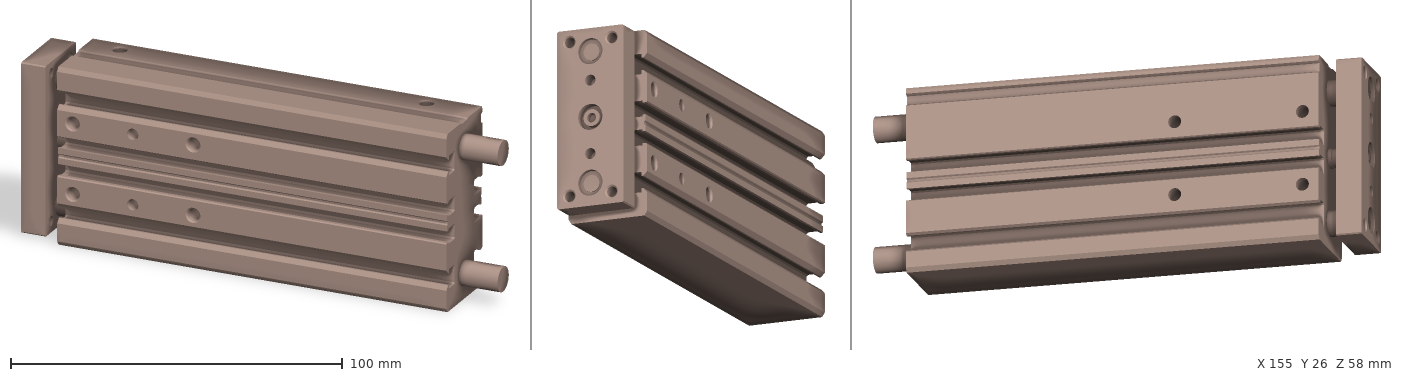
import cadquery as cq
import math


total_length = 155.0
housing_start = 12.9
housing_length = 129.3
housing_width = 26.0
housing_height = 58.0
plate_thickness = 8.0
plate_width = 22.0
plate_height = 55.5
guide_spacing = 41.0
guide_diameter = 8.0

half_width = housing_width / 2
half_height = housing_height / 2
corner_width = 1.0
back_top_corner_width = 0.5
corner_height = 1.4
top_groove_mouth = 5.0
top_groove_floor = 4.2
top_groove_depth = 0.5
back_groove_center = 25.3
back_groove_mouth = 3.7
back_groove_floor = 2.6
back_groove_depth = 1.1

guide_slot_center = 18.5
guide_slot_mouth = 6.5
guide_slot_neck = 3.9
guide_slot_mouth_depth = 1.2
guide_slot_lip = 1.9
back_slot_center = 19.7
back_slot_mouth = 5.9
back_slot_neck = 4.6
back_slot_mouth_depth = 1.0
center_slot_center = 4.5
center_slot_mouth = 4.3
center_slot_neck = 3.7
center_slot_mouth_depth = 0.5
center_slot_lip = 1.5
guide_slot_undercut = 1.2
center_slot_undercut = 0.6
slot_depth = 6.0
slot_floor_bevel = 0.5

rib_recess = 0.6
rib_groove_mouth = 1.4
rib_groove_floor = 0.6
rib_groove_depth = 0.5

hole_row_spacing = 23.0
mount_hole_start = 18.0
mount_hole_pitch = 40.0
mount_hole_diameter = 4.0
mount_hole_mouth = 5.0
dowel_diameter = 3.7
dowel_depth = 4.6
drill_point_angle = 118

port_positions = (24.0, 125.9)
port_y = 7.9
port_diameter = 4.2
port_mouth = 5.0
port_depth = 6.2
port_pilot_diameter = 1.5
port_pilot_depth = 2.3

plate_edge_chamfer = 0.39
plate_hole_width = 14.0
plate_hole_height = 48.0
plate_hole_diameter = 3.3
plate_hole_mouth = 4.2
plate_dowel_diameter = 3.4
plate_dowel_depth = 4.6
recess_diameter = 8.0
guide_recess_depth = 1.4
piston_recess_depth = 2.8
stud_diameter = 5.3
stud_start = 1.0

piston_diameter = 6.2
piston_neck_diameter = 5.6
piston_neck_end = 11.8
piston_end = 124.0
socket_diameter = 3.0
socket_depth = 2.0

housing_end = housing_start + housing_length
guide_heights = (guide_spacing / 2, -guide_spacing / 2)
hole_rows = (hole_row_spacing / 2, -hole_row_spacing / 2)


def rod_along_x(diameter, start, end, z=0.0):
    """Round bar parallel to X."""
    return cq.Workplane("YZ", origin=(start, 0, z)).circle(diameter / 2).extrude(end - start)


def cone_tool(base, axis, large_diameter, small_diameter, length):
    """Cone frustum that starts with its large end on the base point."""
    return cq.Workplane(cq.Solid.makeCone(
        large_diameter / 2, small_diameter / 2, length, cq.Vector(*base), cq.Vector(*axis)))


def drill_point(base, axis, diameter):
    """Pointed bottom of a drilled hole."""
    half_angle = math.radians(drill_point_angle / 2)
    return cone_tool(base, axis, diameter, 0, diameter / 2 / math.tan(half_angle))


def drill(base, axis, diameter, depth):
    """Plain drill tool with a flat bottom."""
    return cq.Workplane(cq.Solid.makeCylinder(
        diameter / 2, depth, cq.Vector(*base), cq.Vector(*axis)))


def countersink(base, axis, mouth_diameter, hole_diameter):
    """45 degree break at the mouth of a hole."""
    return cone_tool(base, axis, mouth_diameter, hole_diameter, (mouth_diameter - hole_diameter) / 2)


def channel(points):
    """Cutter with a closed (Y, Z) outline that runs the whole length of the housing."""
    return (cq.Workplane("YZ", origin=(housing_start, 0, 0))
            .polyline(points).close().extrude(housing_length))


def side_channel(side, center, steps):
    """Symmetric channel in the side at Y = side * half_width; steps are (depth, width) pairs."""
    upper = [(side * (half_width - depth), center + width / 2) for depth, width in steps]
    lower = [(y, 2 * center - z) for y, z in reversed(upper)]
    return channel(upper + lower)


def sensor_slot(side, center, mouth, neck, mouth_depth, lip, undercut):
    """Undercut slot with a beveled mouth and beveled floor corners."""
    inner = neck + 2 * undercut
    return side_channel(side, center, [
        (0, mouth), (mouth_depth, neck), (lip, neck), (lip, inner),
        (slot_depth - slot_floor_bevel, inner), (slot_depth, inner - 2 * slot_floor_bevel)])


def housing_block():
    """Extruded outline with beveled corners."""
    top_bevel = half_height - corner_height
    outline = [
        (-half_width, -top_bevel), (-half_width, top_bevel),
        (-half_width + corner_width, half_height),
        (half_width - back_top_corner_width, half_height),
        (half_width, top_bevel), (half_width, -top_bevel),
        (half_width - corner_width, -half_height), (-half_width + corner_width, -half_height)]
    return channel(outline)


def cut_grooves(body):
    """Shallow grooves in the top and near the top of the +Y side."""
    top_groove_bottom = half_height - top_groove_depth
    top_groove = channel([
        (-top_groove_mouth / 2, half_height), (top_groove_mouth / 2, half_height),
        (top_groove_floor / 2, top_groove_bottom), (-top_groove_floor / 2, top_groove_bottom)])
    back_groove = side_channel(1, back_groove_center, [
        (0, back_groove_mouth), (back_groove_depth, back_groove_floor)])
    return body.cut(top_groove).cut(back_groove)


def cut_slots(body):
    """Sensor slots on both sides, with a recessed and grooved rib between the center pair."""
    for side in (-1, 1):
        for z in (center_slot_center, -center_slot_center):
            body = body.cut(sensor_slot(side, z, center_slot_mouth, center_slot_neck,
                                        center_slot_mouth_depth, center_slot_lip,
                                        center_slot_undercut))
        body = body.cut(side_channel(side, 0, [
            (0, 2 * center_slot_center), (rib_recess, 2 * center_slot_center)]))
        body = body.cut(side_channel(side, 0, [
            (rib_recess, rib_groove_mouth), (rib_recess + rib_groove_depth, rib_groove_floor)]))
    for z in (guide_slot_center, -guide_slot_center):
        body = body.cut(sensor_slot(-1, z, guide_slot_mouth, guide_slot_neck,
                                    guide_slot_mouth_depth, guide_slot_lip,
                                    guide_slot_undercut))
    return body.cut(sensor_slot(1, -back_slot_center, back_slot_mouth, back_slot_neck,
                                back_slot_mouth_depth, guide_slot_lip,
                                guide_slot_undercut))


def cut_side_holes(body):
    """Two mounting through holes and a dowel hole midway between them in each row."""
    inward = (0, 1, 0)
    for z in hole_rows:
        for x in (mount_hole_start, mount_hole_start + mount_hole_pitch):
            mouth = (x, -half_width, z)
            body = body.cut(drill(mouth, inward, mount_hole_diameter, housing_width))
            body = body.cut(countersink(mouth, inward, mount_hole_mouth, mount_hole_diameter))
        dowel_x = mount_hole_start + mount_hole_pitch / 2
        body = body.cut(drill((dowel_x, -half_width, z), inward, dowel_diameter, dowel_depth))
        body = body.cut(drill_point((dowel_x, -half_width + dowel_depth, z), inward, dowel_diameter))
    return body


def cut_ports(body):
    """Air ports with a pointed bottom and a narrow pilot hole."""
    down = (0, 0, -1)
    for x in port_positions:
        mouth = (x, port_y, half_height)
        bottom = (x, port_y, half_height - port_depth)
        body = body.cut(drill(mouth, down, port_diameter, port_depth))
        body = body.cut(countersink(mouth, down, port_mouth, port_diameter))
        body = body.cut(drill_point(bottom, down, port_diameter))
        body = body.cut(drill(bottom, down, port_pilot_diameter, port_pilot_depth))
    return body


def make_housing():
    """Cylinder body with bores for the guide rods and the piston rod."""
    body = cut_ports(cut_side_holes(cut_slots(cut_grooves(housing_block()))))
    for z in guide_heights:
        body = body.cut(rod_along_x(guide_diameter, housing_start, housing_end, z))
    return body.cut(rod_along_x(piston_diameter, housing_start, piston_end))


def make_end_plate():
    """Plate that joins the rods, with recesses over the rod ends."""
    plate = (cq.Workplane("YZ").rect(plate_width, plate_height).extrude(plate_thickness)
             .edges("|X").chamfer(plate_edge_chamfer))
    inward = (1, 0, 0)
    for z, depth in ((guide_heights[0], guide_recess_depth), (0, piston_recess_depth),
                     (guide_heights[1], guide_recess_depth)):
        plate = plate.cut(rod_along_x(recess_diameter, 0, depth, z))
        plate = plate.cut(rod_along_x(stud_diameter, 0, plate_thickness, z))
    for y in (-plate_hole_width / 2, plate_hole_width / 2):
        for z in (-plate_hole_height / 2, plate_hole_height / 2):
            plate = plate.cut(drill((0, y, z), inward, plate_hole_diameter, plate_thickness))
            plate = plate.cut(countersink((0, y, z), inward, plate_hole_mouth, plate_hole_diameter))
    for z in hole_rows:
        plate = plate.cut(drill((0, 0, z), inward, plate_dowel_diameter, plate_dowel_depth))
        plate = plate.cut(drill_point((plate_dowel_depth, 0, z), inward, plate_dowel_diameter))
    return plate


def make_guide_rod(z):
    """Guide rod with a stud that passes through the plate into its recess."""
    rod = rod_along_x(guide_diameter, plate_thickness, total_length, z)
    return rod.union(rod_along_x(stud_diameter, stud_start, plate_thickness, z))


def make_piston_rod():
    """Piston rod with a slimmer neck and a stud that has a round socket in its end."""
    rod = rod_along_x(piston_diameter, piston_neck_end, piston_end)
    rod = rod.union(rod_along_x(piston_neck_diameter, plate_thickness, piston_neck_end))
    rod = rod.union(rod_along_x(stud_diameter, stud_start, plate_thickness))
    return rod.cut(rod_along_x(socket_diameter, stud_start, stud_start + socket_depth))


housing = make_housing()
end_plate = make_end_plate()
piston_rod = make_piston_rod()
guide_rods = [make_guide_rod(z) for z in guide_heights]

result = cq.Compound.makeCompound(
    [housing.val(), end_plate.val(), piston_rod.val(), *[rod.val() for rod in guide_rods]])